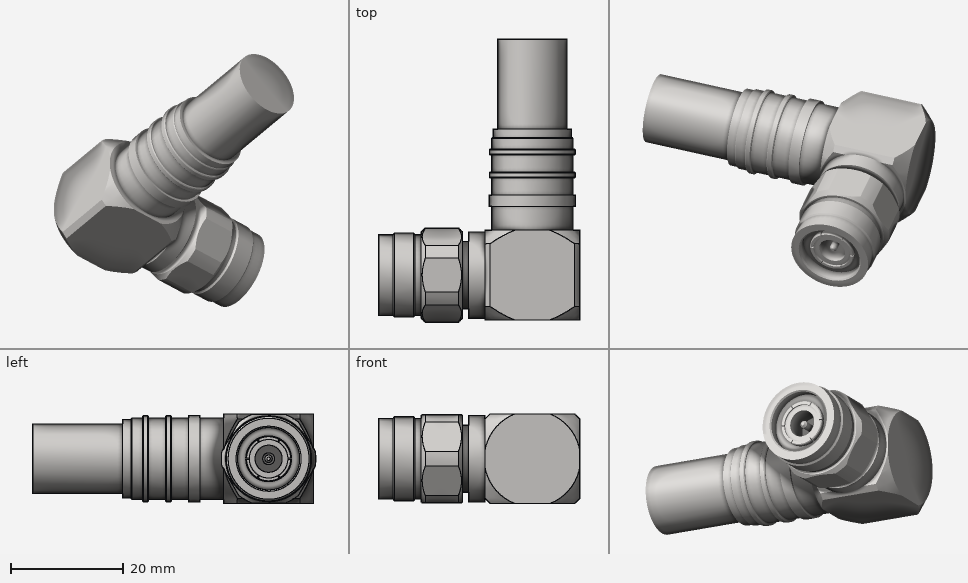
import cadquery as cq
import math


body_length = 16.95
body_side = 16.0
body_edge_chamfer = 0.95
body_end_radius = 8.6

plug_length = 27.4
ring_radius = 7.2
band_radius = 7.5
band_start = 2.6
band_end = 6.5
band_chamfer = 0.3
nut_start = 7.55
nut_end = 15.0
nut_across_flats = 15.75
nut_corner_radius = 8.45
nut_chamfer = 0.75
neck_radius = 6.0
collar_start = 16.05
collar_radius = 7.7

mouth_radius = 5.55
mouth_chamfer = 0.25
mouth_depth = 2.05
contact_radius = 4.1
contact_inner_radius = 3.45
contact_tip_depth = 1.1
contact_chamfer = 0.15
contact_slots = 6
slot_width = 0.2
insulator_recess = 0.35
socket_radius = 2.4
socket_depth = 6.05
pin_radius = 0.65
pin_tip_depth = 1.65
pin_tip_radius = 0.3
pin_tip_length = 0.4
pin_shoulder_radius = 1.05
pin_shoulder_length = 0.75

cable_radius = 6.2
cable_end = 42.05
ferrule_radius = 7.25
ferrule_end = 24.5
ferrule_chamfer = 0.15
sleeve_radius = 7.0
sleeve_end = 26.0
flange_radius = 7.7
flange_start = 12.25
flange_width = 1.95
rib_starts = (17.3, 21.4)
rib_radius = 7.65
rib_width = 1.05
rib_chamfer = 0.15

half_side = body_side / 2
contact_tip_x = contact_tip_depth - plug_length
insulator_x = contact_tip_x + insulator_recess
mouth_floor_x = mouth_depth - plug_length
socket_floor_x = socket_depth - plug_length


def cylinder_x(start, end, radius):
    """Cylinder on the plug axis between two X positions."""
    return cq.Workplane("YZ").workplane(offset=start).circle(radius).extrude(end - start)


def cylinder_y(start, end, radius):
    """Cylinder on the cable axis between two Y positions."""
    return cq.Workplane("XZ").workplane(offset=-start).circle(radius).extrude(start - end)


def make_body():
    """Block with chamfered edges along Y and both Y ends turned to 45 degree cones."""
    block = cq.Workplane("XY").box(body_length, body_side, body_side)
    block = block.edges("|Y").chamfer(body_edge_chamfer)
    middle_radius = body_end_radius + half_side
    turned_blank = (
        cq.Workplane("XY")
        .polyline([
            (0, -half_side),
            (body_end_radius, -half_side),
            (middle_radius, 0),
            (body_end_radius, half_side),
            (0, half_side),
        ])
        .close()
        .revolve(360, (0, 0, 0), (0, 1, 0))
    )
    return block.intersect(turned_blank)


def make_nut():
    """Hexagon with turned corners and chamfered ends, corners pointing along Y."""
    hexagon_diameter = nut_across_flats / math.cos(math.pi / 6)
    hexagon = (
        cq.Workplane("YZ")
        .workplane(offset=nut_start - plug_length)
        .polygon(6, hexagon_diameter)
        .extrude(nut_end - nut_start)
    )
    turned_blank = cylinder_x(nut_start - plug_length, nut_end - plug_length, nut_corner_radius)
    return hexagon.intersect(turned_blank.edges().chamfer(nut_chamfer))


def make_shell():
    """Outside of the plug: front ring, raised band, hex nut, neck and collar."""
    ring = cylinder_x(-plug_length, nut_start - plug_length, ring_radius)
    band = cylinder_x(band_start - plug_length, band_end - plug_length, band_radius)
    band = band.edges().chamfer(band_chamfer)
    neck = cylinder_x(nut_end - plug_length, collar_start - plug_length, neck_radius)
    collar = cylinder_x(collar_start - plug_length, -body_length / 2, collar_radius)
    return ring.union(band).union(make_nut()).union(neck).union(collar)


def make_mouth():
    """Space inside the front of the plug, with a chamfered rim."""
    front_x = -plug_length
    return (
        cq.Workplane("XY")
        .polyline([
            (front_x, 0),
            (front_x, mouth_radius + mouth_chamfer),
            (front_x + mouth_chamfer, mouth_radius),
            (mouth_floor_x, mouth_radius),
            (mouth_floor_x, 0),
        ])
        .close()
        .revolve(360, (0, 0, 0), (1, 0, 0))
    )


def make_contact():
    """Slotted outer contact around the recessed insulator."""
    sleeve = cylinder_x(contact_tip_x, mouth_floor_x, contact_radius)
    sleeve = sleeve.faces("<X").edges().chamfer(contact_chamfer)
    slot_length = mouth_floor_x - contact_tip_x
    for index in range(contact_slots):
        slot = cq.Workplane("XY").box(
            slot_length, contact_radius, slot_width, centered=(False, False, True)
        )
        angle = index * 360 / contact_slots
        slot = slot.translate((contact_tip_x, 0, 0)).rotate((0, 0, 0), (1, 0, 0), angle)
        sleeve = sleeve.cut(slot)
    sleeve = sleeve.cut(cylinder_x(contact_tip_x, mouth_floor_x, contact_inner_radius))
    return sleeve.union(cylinder_x(insulator_x, mouth_floor_x, contact_inner_radius))


def make_pin():
    """Centre pin with a tapered tip, standing on a shoulder at the socket floor."""
    tip_x = pin_tip_depth - plug_length
    shoulder_x = socket_floor_x - pin_shoulder_length
    return (
        cq.Workplane("XY")
        .moveTo(tip_x, 0)
        .lineTo(tip_x, pin_tip_radius)
        .lineTo(tip_x + pin_tip_length, pin_radius)
        .lineTo(shoulder_x, pin_radius)
        .lineTo(shoulder_x, pin_shoulder_radius)
        .lineTo(socket_floor_x, pin_shoulder_radius)
        .lineTo(socket_floor_x, 0)
        .close()
        .revolve(360, (0, 0, 0), (1, 0, 0))
    )


def make_plug():
    """Complete plug: hollow shell, contact, socket and pin."""
    plug = make_shell().cut(make_mouth()).union(make_contact())
    plug = plug.cut(cylinder_x(contact_tip_x, socket_floor_x, socket_radius))
    return plug.union(make_pin())


def make_cable_side():
    """Ribbed ferrule, short sleeve and cable."""
    ferrule = cylinder_y(0, ferrule_end, ferrule_radius)
    ferrule = ferrule.faces(">Y").edges().chamfer(ferrule_chamfer)
    flange = cylinder_y(flange_start, flange_start + flange_width, flange_radius)
    sleeve = cylinder_y(0, sleeve_end, sleeve_radius)
    cable = cylinder_y(0, cable_end, cable_radius)
    cable_side = ferrule.union(flange).union(sleeve).union(cable)
    for rib_start in rib_starts:
        rib = cylinder_y(rib_start, rib_start + rib_width, rib_radius)
        cable_side = cable_side.union(rib.edges().chamfer(rib_chamfer))
    return cable_side


result = make_body().union(make_plug()).union(make_cable_side())